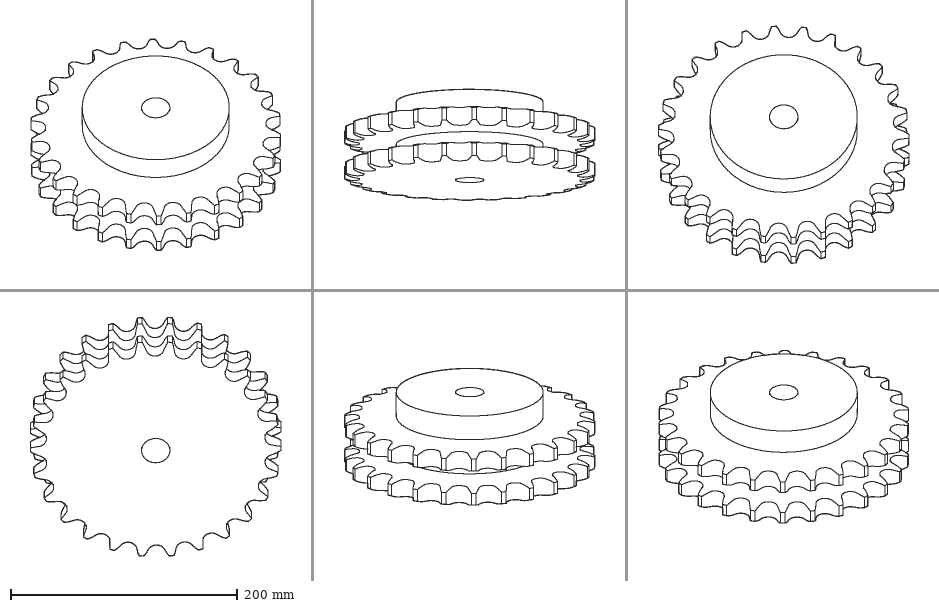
import cadquery as cq
import math


tooth_count = 26
tip_radius = 221.5 / 2
pitch_radius = 210.7 / 2
roller_diameter = 16.0
seat_radius = roller_diameter / 2
root_radius = pitch_radius - seat_radius
seat_angle = 140 - 90 / tooth_count
flank_radius = 53.6
flank_sweep = 14

disc_width = 16.0
disc_spacing = 2 * disc_width
side_radius = 25.5
side_bite = 11

hub_diameter = 130.0
hub_height = 70.0
bore_diameter = 25.0


def polar_point(centre, radius, degrees):
    """Point at a distance and direction from a centre."""
    angle = math.radians(degrees)
    return (centre[0] + radius * math.cos(angle), centre[1] + radius * math.sin(angle))


def disc_blank():
    """Toothless disc, its rim rounded on both sides by arcs tangent to the faces."""
    flat_radius = tip_radius - side_bite
    side_drop = side_radius - math.sqrt(side_radius**2 - side_bite**2)

    half_angle = math.asin(side_bite / side_radius) / 2
    mid_radius = flat_radius + side_radius * math.sin(half_angle)
    mid_drop = side_radius * (1 - math.cos(half_angle))

    return (
        cq.Workplane("XZ")
        .lineTo(flat_radius, 0)
        .threePointArc((mid_radius, mid_drop), (tip_radius, side_drop))
        .lineTo(tip_radius, disc_width - side_drop)
        .threePointArc((mid_radius, disc_width - mid_drop), (flat_radius, disc_width))
        .lineTo(0, disc_width)
        .close()
        .revolve(360, (0, 0), (0, 1))
    )


def tooth_gap():
    """Gap on the +X side: a round roller seat running tangent into two convex flanks."""
    seat_centre = (pitch_radius, 0)
    upper_direction = 180 - seat_angle / 2
    seat_end = polar_point(seat_centre, seat_radius, upper_direction)
    flank_centre = polar_point(seat_centre, seat_radius + flank_radius, upper_direction)
    flank_start = upper_direction - 180
    flank_mid = polar_point(flank_centre, flank_radius, flank_start + flank_sweep / 2)
    flank_end = polar_point(flank_centre, flank_radius, flank_start + flank_sweep)

    def mirrored(point):
        return (point[0], -point[1])

    return (
        cq.Workplane("XY")
        .moveTo(*flank_end)
        .threePointArc(flank_mid, seat_end)
        .threePointArc((root_radius, 0), mirrored(seat_end))
        .threePointArc(mirrored(flank_mid), mirrored(flank_end))
        .close()
        .extrude(disc_width)
    )


def toothed_disc():
    """Disc with a tooth centred on +X and gaps halfway between the teeth."""
    tooth_step = 360 / tooth_count
    disc = disc_blank()
    gap = tooth_gap()
    for index in range(tooth_count):
        disc = disc.cut(gap.rotate((0, 0, 0), (0, 0, 1), (index + 0.5) * tooth_step))
    return disc


disc = toothed_disc()
hub = cq.Workplane("XY").circle(hub_diameter / 2).extrude(hub_height)
bore = cq.Workplane("XY").circle(bore_diameter / 2).extrude(hub_height)

result = hub.union(disc).union(disc.translate((0, 0, disc_spacing))).cut(bore)